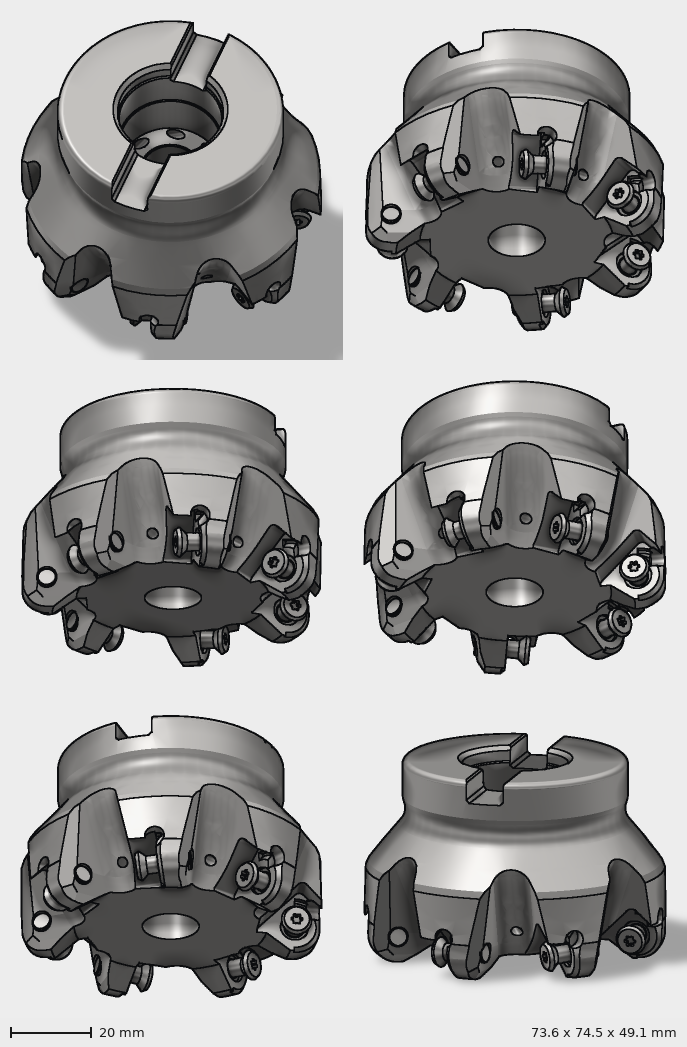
import cadquery as cq
import math


TOOTH_COUNT = 7
PITCH = 360 / TOOTH_COUNT

HEIGHT = 49.05
HUB_R = 27.9
HUB_TOP_FILLET = 1.6
HUB_BOTTOM_Z = 39.6
NECK_TOP_R, NECK_TOP_Z = 27.6, 38.45
NECK_MID_R, NECK_MID_Z = 27.2, 36.3
CONE_TOP_R, CONE_TOP_Z = 28.6, 32.65
CONE_BOTTOM_R, CONE_BOTTOM_Z = 36.2, 23.4
SHOULDER_R, SHOULDER_Z = 37.0, 21.7
SKIRT_R, SKIRT_BOTTOM_Z = 37.3, 9.8
LAND_R = 37.2
EDGE_FILLET = 6.1

BORE_MOUTH_R = 14.15
LEAD_IN_R, LEAD_IN_Z = 13.05, 45.3
MOUTH_CHAMFER = BORE_MOUTH_R - LEAD_IN_R
BORE_R = 12.7
LEAD_IN_STEP = LEAD_IN_R - BORE_R
LOWER_BORE_R, LOWER_BORE_TOP_Z = 12.4, 36.0
LOWER_BORE_STEP = BORE_R - LOWER_BORE_R
BORE_FLOOR_Z = 24.6
THROUGH_R = 7.0
THROUGH_CHAMFER = 0.3

RECESS_MOUTH_R = 29.8
RECESS_FLOOR_R = 23.85
RECESS_DEPTH = 4.3

SLOT_WIDTH = 9.5
SLOT_DEPTH = 5.6
SLOT_FLOOR_CHAMFER = 0.8
SLOT_EDGE_CHAMFER = 0.45

GULLET_R = 5.0
GULLET_CENTER_R, GULLET_CENTER_Z = 37.0, 27.6
GULLET_ANGLE = 207.0
GULLET_TOP_Z = 35.0
GULLET_BEND_Z = 7.8
GULLET_INWARD = 0.43
GULLET_FOOT_INWARD = 0.55
GULLET_SIDEWAYS = 0.05
FLAT_LENGTH = 18.6
OVERCUT = 3.7

UPPER_FACET = [(-32.95, -11.8), (-41.9, -6.85), (-41.9, -11.8)]
UPPER_FACET_Z = 25.35
UPPER_FACET_LEAN = (0.1, 0.12)
LOWER_FACET = [(-23.85, -9.85), (-31.8, -9.85), (-41.0, -6.4), (-41.0, -14.9), (-23.85, -14.9)]
LOWER_FACET_Z = 10.4
LOWER_FACET_LEAN = (0, 0.2)
TOE_FACET = [(-21.6, -8.6), (-31.8, -8.6), (-41.0, -5.15), (-41.0, -14.9), (-21.6, -14.9)]
TOE_FACET_Z = 4.1
TOE_FACET_LEAN = (0, 0.6)

SEAT_X, SEAT_Y, SEAT_Z = -30.8, -0.7, 6.2
SCREW_TILT = math.radians(5.2)
POCKET_TOP = 5.95
POCKET_INNER = 8.2
POCKET_UPPER = 7.6
POCKET_OPEN = 18.6
POCKET_CORNER_FILLET = 1.5
POCKET_LENGTH = 7.45
RELIEF_LENGTH = 11.2
SEAT_DISK_R = 5.4
SEAT_RIM_R = 6.8
SEAT_RIM_DEPTH = 1.4
SEAT_RIM_OUTER_R = 7.45
CORNER_RELIEF_R = 2.4
CORNER_RELIEF_X, CORNER_RELIEF_Y = 3.0, 4.7
SEAT_COUNTERBORE_R, SEAT_COUNTERBORE_DEPTH = 3.4, 0.9

THREAD_R = 2.45
SHANK_R = 2.2
HEAD_R = 3.7
HEAD_FACE_R = 3.1
THREAD_END = -8.0
THREAD_CHAMFER = 0.3
HEAD_CONE_START = 3.0
HEAD_CONE_END = 4.6
HEAD_TOP = 5.6
SOCKET_R = 1.05
SOCKET_LOBE_R = 0.4
SOCKET_LOBES = 6
SOCKET_DEPTH = 1.5

COOLANT_R = 1.3
COOLANT_INLET = cq.Vector(-2.6, 10.2, BORE_FLOOR_Z)
COOLANT_OUTLET = cq.Vector(-23.7, 9.25, 10.6)

SEAT_PLANE = cq.Plane(
    origin=(SEAT_X, SEAT_Y, SEAT_Z),
    xDir=(-1, 0, 0),
    normal=(0, math.cos(SCREW_TILT), -math.sin(SCREW_TILT)),
)


def around(shape):
    """One copy of a shape for every tooth."""
    return [shape.rotate((0, 0, 0), (0, 0, 1), i * PITCH) for i in range(TOOTH_COUNT)]


def polar(radius, angle):
    """Horizontal vector of a given length and direction in degrees."""
    return cq.Vector(radius * math.cos(math.radians(angle)), radius * math.sin(math.radians(angle)), 0)


def turned_blank():
    arc_center_r = LAND_R - EDGE_FILLET
    diagonal = EDGE_FILLET * math.sqrt(0.5)
    outline = (
        cq.Workplane("XZ")
        .moveTo(0, 0)
        .lineTo(arc_center_r, 0)
        .threePointArc((arc_center_r + diagonal, EDGE_FILLET - diagonal), (LAND_R, EDGE_FILLET))
        .lineTo(LAND_R, SKIRT_BOTTOM_Z)
        .lineTo(SKIRT_R, SKIRT_BOTTOM_Z)
        .lineTo(SHOULDER_R, SHOULDER_Z)
        .lineTo(CONE_BOTTOM_R, CONE_BOTTOM_Z)
        .lineTo(CONE_TOP_R, CONE_TOP_Z)
        .threePointArc((NECK_MID_R, NECK_MID_Z), (NECK_TOP_R, NECK_TOP_Z))
        .lineTo(HUB_R, HUB_BOTTOM_Z)
        .lineTo(HUB_R, HEIGHT)
        .lineTo(0, HEIGHT)
        .close()
    )
    return outline.revolve(360, (0, 0, 0), (0, 1, 0)).faces(">Z").edges().fillet(HUB_TOP_FILLET)


def bore():
    points = [
        (0, 0),
        (RECESS_MOUTH_R, 0),
        (RECESS_FLOOR_R, RECESS_DEPTH),
        (THROUGH_R, RECESS_DEPTH),
        (THROUGH_R, BORE_FLOOR_Z - THROUGH_CHAMFER),
        (THROUGH_R + THROUGH_CHAMFER, BORE_FLOOR_Z),
        (LOWER_BORE_R, BORE_FLOOR_Z),
        (LOWER_BORE_R, LOWER_BORE_TOP_Z - LOWER_BORE_STEP),
        (BORE_R, LOWER_BORE_TOP_Z),
        (BORE_R, LEAD_IN_Z - LEAD_IN_STEP),
        (LEAD_IN_R, LEAD_IN_Z),
        (LEAD_IN_R, HEIGHT - MOUTH_CHAMFER),
        (BORE_MOUTH_R, HEIGHT),
        (0, HEIGHT),
    ]
    return cq.Workplane("XZ").polyline(points).close().revolve(360, (0, 0, 0), (0, 1, 0))


def drive_slot():
    half = SLOT_WIDTH / 2
    floor_z = HEIGHT - SLOT_DEPTH
    right_side = [
        (half - SLOT_FLOOR_CHAMFER, floor_z),
        (half, floor_z + SLOT_FLOOR_CHAMFER),
        (half, HEIGHT - SLOT_EDGE_CHAMFER),
        (half + SLOT_EDGE_CHAMFER, HEIGHT),
    ]
    left_side = [(-x, z) for x, z in reversed(right_side)]
    return cq.Workplane("XZ").polyline(right_side + left_side).close().extrude(HUB_R + OVERCUT, both=True)


def gullet():
    """U-shaped chip space behind the reference tooth: its floor dives inward more steeply below the bend."""
    drift = polar(-GULLET_INWARD, GULLET_ANGLE) + polar(GULLET_SIDEWAYS, GULLET_ANGLE + 90)
    rise = GULLET_TOP_Z - GULLET_CENTER_Z
    center = polar(GULLET_CENTER_R, GULLET_ANGLE) - drift * rise
    back_out = polar(1, 180)
    front_out = polar(1, 180 + PITCH)
    back_tangent = center + polar(GULLET_R, 90)
    front_tangent = center + polar(GULLET_R, 270 + PITCH)
    floor = center - polar(GULLET_R, 180 + PITCH / 2)
    section = [
        cq.Edge.makeLine(back_tangent + back_out * FLAT_LENGTH, back_tangent),
        cq.Edge.makeThreePointArc(back_tangent, floor, front_tangent),
        cq.Edge.makeLine(front_tangent, front_tangent + front_out * FLAT_LENGTH),
        cq.Edge.makeLine(front_tangent + front_out * FLAT_LENGTH, back_tangent + back_out * FLAT_LENGTH),
    ]
    top = cq.Wire.assembleEdges(section).translate(cq.Vector(0, 0, GULLET_TOP_Z))
    depth = GULLET_TOP_Z - GULLET_BEND_Z
    travel = drift * depth - cq.Vector(0, 0, depth)
    sloping = cq.Solid.extrudeLinear(top, [], travel)
    foot_depth = GULLET_BEND_Z + OVERCUT
    foot_travel = polar(-GULLET_FOOT_INWARD * foot_depth, GULLET_ANGLE) - cq.Vector(0, 0, foot_depth)
    foot = cq.Solid.extrudeLinear(top.translate(travel), [], foot_travel)
    return [sloping, foot]


def facet(points, top_z, lean):
    """Leaning prism that planes one facet on the back of the reference tooth."""
    depth = top_z + OVERCUT
    wire = cq.Wire.makePolygon([cq.Vector(x, y, top_z) for x, y in points], close=True)
    return cq.Solid.extrudeLinear(wire, [], cq.Vector(lean[0] * depth, lean[1] * depth, -depth))


def insert_pocket():
    """Square-cornered pocket turned 45 degrees about the screw axis and open downward and outward."""
    return (
        cq.Workplane(SEAT_PLANE)
        .transformed(rotate=(0, 0, 45))
        .moveTo(-POCKET_INNER, POCKET_TOP)
        .lineTo(POCKET_UPPER, POCKET_TOP)
        .lineTo(POCKET_UPPER, -POCKET_OPEN)
        .lineTo(-POCKET_INNER, -POCKET_OPEN)
        .close()
        .extrude(POCKET_LENGTH)
        .edges(cq.selectors.ParallelDirSelector(SEAT_PLANE.zDir))
        .fillet(POCKET_CORNER_FILLET)
        .val()
    )


def seat_rim():
    """Groove with a conical inner wall around the outward half of the round seat face."""
    profile = [
        (SEAT_DISK_R, 0),
        (SEAT_RIM_R, -SEAT_RIM_DEPTH),
        (SEAT_RIM_OUTER_R, -SEAT_RIM_DEPTH),
        (SEAT_RIM_OUTER_R, 0),
    ]
    half_plane = cq.Plane(
        origin=SEAT_PLANE.origin, xDir=SEAT_PLANE.yDir.multiply(-1), normal=SEAT_PLANE.xDir.multiply(-1)
    )
    return (
        cq.Workplane(half_plane)
        .polyline(profile)
        .close()
        .revolve(180, (0, 0, 0), (0, 1, 0))
        .val()
    )


def corner_relief():
    """Round relief above the seat, running outward through the rim of the tooth."""
    start = SEAT_PLANE.toWorldCoords((CORNER_RELIEF_X, CORNER_RELIEF_Y, 0))
    return cq.Solid.makeCylinder(CORNER_RELIEF_R, RELIEF_LENGTH, start, SEAT_PLANE.xDir)


def screw_hole():
    end = THREAD_END - OVERCUT
    hole = cq.Workplane(SEAT_PLANE).circle(THREAD_R).extrude(end)
    counterbore = cq.Workplane(SEAT_PLANE).circle(SEAT_COUNTERBORE_R).extrude(-SEAT_COUNTERBORE_DEPTH)
    return [hole.val(), counterbore.val()]


def coolant_hole():
    run = COOLANT_OUTLET - COOLANT_INLET
    direction = run.normalized()
    return cq.Solid.makeCylinder(
        COOLANT_R, run.Length + 2 * OVERCUT, COOLANT_INLET - direction * OVERCUT, direction
    )


def make_body():
    body = turned_blank().cut(bore()).cut(drive_slot()).val()
    tooth_cuts = [
        *gullet(),
        facet(UPPER_FACET, UPPER_FACET_Z, UPPER_FACET_LEAN),
        facet(LOWER_FACET, LOWER_FACET_Z, LOWER_FACET_LEAN),
        facet(TOE_FACET, TOE_FACET_Z, TOE_FACET_LEAN),
        insert_pocket(),
        seat_rim(),
        corner_relief(),
        *screw_hole(),
        coolant_hole(),
    ]
    for cut in tooth_cuts:
        body = body.cut(*around(cut))
    return body.Solids()[0]


def torx_socket():
    floor = cq.Workplane(SEAT_PLANE).workplane(offset=HEAD_TOP - SOCKET_DEPTH)
    core = floor.circle(SOCKET_R).extrude(SOCKET_DEPTH)
    lobes = floor.polarArray(SOCKET_R, 0, 360, SOCKET_LOBES).circle(SOCKET_LOBE_R).extrude(SOCKET_DEPTH)
    return core.union(lobes)


def make_screw():
    profile = [
        (0, THREAD_END),
        (THREAD_R - THREAD_CHAMFER, THREAD_END),
        (THREAD_R, THREAD_END + THREAD_CHAMFER),
        (THREAD_R, -SEAT_COUNTERBORE_DEPTH),
        (SHANK_R, -SEAT_COUNTERBORE_DEPTH),
        (SHANK_R, HEAD_CONE_START),
        (HEAD_R, HEAD_CONE_END),
        (HEAD_FACE_R, HEAD_TOP),
        (0, HEAD_TOP),
    ]
    axial_plane = cq.Plane(
        origin=SEAT_PLANE.origin, xDir=SEAT_PLANE.xDir, normal=SEAT_PLANE.yDir.multiply(-1)
    )
    turned = cq.Workplane(axial_plane).polyline(profile).close().revolve(360, (0, 0, 0), (0, 1, 0))
    return turned.cut(torx_socket()).val()


body = make_body()
screws = around(make_screw())

result = cq.Compound.makeCompound([body, *screws])